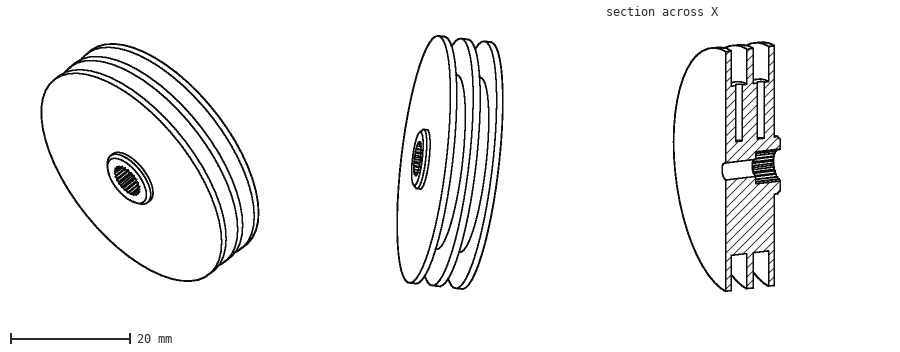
import cadquery as cq
import math

flange_diameter = 41.75
total_length = 10.1
body_length = 9.0
outer_flange_thickness = 1.1
middle_flange_thickness = 1.2
groove_width = (body_length - 2 * outer_flange_thickness - middle_flange_thickness) / 2
drum_diameter = 29.5

hub_diameter = 10.0
hub_length = total_length - body_length
hub_chamfer = 0.5

spline_teeth = 25
spline_outer_radius = 2.9
spline_inner_radius = 2.6
spline_depth = 4.5
bore_diameter = 2.9

cord_hole_diameter = 1.15
cord_hole_floor = hub_diameter / 2

front_face = 0.0
hub_tip = front_face - hub_length
back_face = front_face + body_length


def disc(diameter, start, length):
    """Solid cylinder on the Y axis, reaching from start towards +Y."""
    plane = cq.Plane(origin=(0, start, 0), xDir=(1, 0, 0), normal=(0, 1, 0))
    return cq.Workplane(plane).circle(diameter / 2).extrude(length)


def spline_socket():
    """Star-shaped socket cutter with one tooth tip on the +X axis."""
    half_pitch = math.pi / spline_teeth
    outline = []
    for corner in range(2 * spline_teeth):
        radius = spline_outer_radius if corner % 2 == 0 else spline_inner_radius
        angle = corner * half_pitch
        outline.append((radius * math.cos(angle), radius * math.sin(angle)))
    plane = cq.Plane(origin=(0, hub_tip, 0), xDir=(1, 0, 0), normal=(0, 1, 0))
    return cq.Workplane(plane).polyline(outline).close().extrude(spline_depth)


def cord_hole(y):
    """Radial hole cutter from the hole floor up past the top of the drum."""
    plane = cq.Workplane("XY", origin=(0, y, cord_hole_floor))
    return plane.circle(cord_hole_diameter / 2).extrude(drum_diameter / 2)


flange_pitch = outer_flange_thickness + groove_width
result = disc(drum_diameter, front_face, body_length)
result = result.union(disc(flange_diameter, front_face, outer_flange_thickness))
result = result.union(disc(flange_diameter, front_face + flange_pitch, middle_flange_thickness))
result = result.union(disc(flange_diameter, back_face - outer_flange_thickness, outer_flange_thickness))

hub = disc(hub_diameter, hub_tip, hub_length).faces("<Y").chamfer(hub_chamfer)
result = result.union(hub)

result = result.cut(spline_socket())
result = result.cut(disc(bore_diameter, hub_tip, total_length))

groove_offset = outer_flange_thickness + groove_width / 2
for hole_y in (front_face + groove_offset, back_face - groove_offset):
    result = result.cut(cord_hole(hole_y))